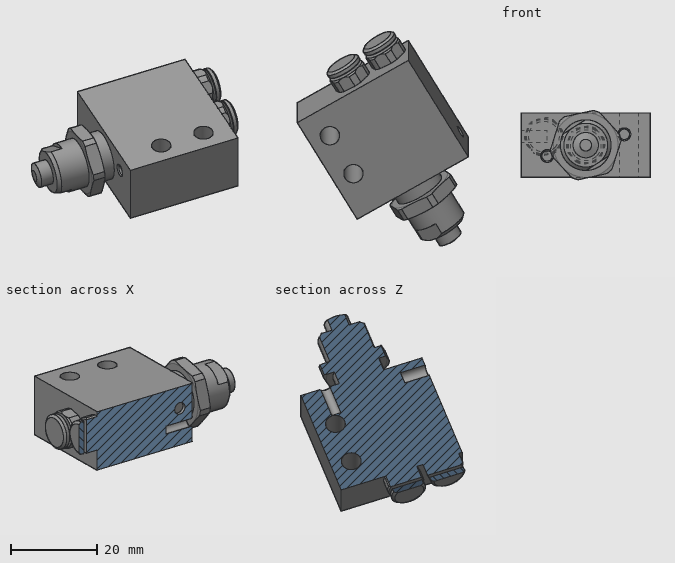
import cadquery as cq
import math


block_width = 30.0
block_length = 27.4
block_height = 15.0

mount_hole_diameter = 4.5
mount_hole_x = 10.05
mount_hole_ys = (10.05, 20.85)

front_hole_diameter = 2.4
front_hole_depth = 7.55
front_hole_chamfer = 0.3
front_hole_x = 8.95
front_hole_z = 2.5

side_hole_diameter = 2.8
side_hole_depth = 6.05
side_hole_y = 3.6
side_hole_z = 1.95

stem_diameter = 11.75
stem_length = 14.2
stem_chamfer = 0.8
flat_spacing = 10.0
flat_length = 3.5
flat_angle = 122.5
plunger_diameter = 5.9
plunger_reach = 17.7
plunger_tip_diameter = 2.7
plunger_tip_length = 0.55

nut_across_flats = 15.0
nut_corner_diameter = 16.5
nut_gap = 3.2
nut_thickness = 3.15
nut_chamfer_height = 0.15
nut_angle = 42.4

fitting_axes = ((-9.7, 1.95), (0.0, 0.0))
fitting_across_flats = 8.5
fitting_corner_diameter = 9.0
fitting_length = 3.1
fitting_chamfer_height = 0.45
fitting_angle = 41.4
ring_diameter = 8.4
ring_end_diameter = 7.15
ring_gap = 0.55
ring_end_chamfer_height = 0.5
ring_edge_chamfer = 0.15

overall_length = 50.3
ring_rear_y = overall_length - plunger_reach
fitting_rear_y = block_length + fitting_length
ring_front_y = fitting_rear_y + ring_gap


def revolve_about_y(profile):
    """Turn a closed (radius, y) profile about the Y axis."""
    return cq.Workplane("XY").polyline(profile).close().revolve(360, (0, 0, 0), (0, 1, 0))


def hexagon(across_flats, angle, y_start, y_end):
    """Hexagonal prism along Y, with one flat facing `angle` (from +X toward +Z)."""
    corner_to_corner = across_flats / math.cos(math.radians(30))
    prism = (
        cq.Workplane("XZ")
        .polygon(6, corner_to_corner)
        .extrude(y_start - y_end)
        .translate((0, y_start, 0))
    )
    return prism.rotate((0, 0, 0), (0, 1, 0), 30 - angle)


def make_block():
    block = cq.Workplane("XY").box(block_width, block_length, block_height, centered=(True, False, True))
    for y in mount_hole_ys:
        hole = cq.Workplane("XY").circle(mount_hole_diameter / 2).extrude(block_height)
        block = block.cut(hole.translate((mount_hole_x, y, -block_height / 2)))
    radius = front_hole_diameter / 2
    front_hole = revolve_about_y([
        (0, 0),
        (radius + front_hole_chamfer, 0),
        (radius, front_hole_chamfer),
        (radius, front_hole_depth),
        (0, front_hole_depth),
    ])
    for side in (-1, 1):
        block = block.cut(front_hole.translate((side * front_hole_x, 0, side * front_hole_z)))
    side_hole = cq.Workplane("YZ").circle(side_hole_diameter / 2).extrude(side_hole_depth)
    return block.cut(side_hole.translate((-block_width / 2, side_hole_y, side_hole_z)))


def make_stem():
    radius = stem_diameter / 2
    stem = revolve_about_y([
        (0, 0),
        (radius, 0),
        (radius, stem_chamfer - stem_length),
        (radius - stem_chamfer, -stem_length),
        (0, -stem_length),
    ])
    for side_angle in (flat_angle, flat_angle + 180):
        cutter = (
            cq.Workplane("XY")
            .box(stem_diameter, flat_length, stem_diameter, centered=(False, False, True))
            .translate((flat_spacing / 2, -stem_length, 0))
            .rotate((0, 0, 0), (0, 1, 0), -side_angle)
        )
        stem = stem.cut(cutter)
    return stem


def make_plunger():
    radius = plunger_diameter / 2
    return revolve_about_y([
        (0, 0),
        (radius, 0),
        (radius, plunger_tip_length - plunger_reach),
        (plunger_tip_diameter / 2, -plunger_reach),
        (0, -plunger_reach),
    ])


def make_nut():
    front_y = -nut_gap - nut_thickness
    corner_radius = nut_corner_diameter / 2
    face_radius = nut_across_flats / 2
    envelope = revolve_about_y([
        (0, -nut_gap),
        (face_radius, -nut_gap),
        (corner_radius, -nut_gap - nut_chamfer_height),
        (corner_radius, front_y + nut_chamfer_height),
        (face_radius, front_y),
        (0, front_y),
    ])
    return hexagon(nut_across_flats, nut_angle, front_y, -nut_gap).intersect(envelope)


def make_fitting_hexagon():
    corner_radius = fitting_corner_diameter / 2
    envelope = revolve_about_y([
        (0, block_length),
        (corner_radius, block_length),
        (corner_radius, fitting_rear_y - fitting_chamfer_height),
        (fitting_across_flats / 2, fitting_rear_y),
        (0, fitting_rear_y),
    ])
    return hexagon(fitting_across_flats, fitting_angle, block_length, fitting_rear_y).intersect(envelope)


def make_valve_body():
    body = make_block().union(make_stem()).union(make_plunger()).union(make_nut())
    fitting = make_fitting_hexagon()
    for x, z in fitting_axes:
        body = body.union(fitting.translate((x, 0, z)))
    return body


def make_release_ring(x, z):
    radius = ring_diameter / 2
    ring = revolve_about_y([
        (0, ring_front_y),
        (radius - ring_edge_chamfer, ring_front_y),
        (radius, ring_front_y + ring_edge_chamfer),
        (radius, ring_rear_y - ring_end_chamfer_height),
        (ring_end_diameter / 2, ring_rear_y),
        (0, ring_rear_y),
    ])
    return ring.translate((x, 0, z))


valve_body = make_valve_body()
release_rings = [make_release_ring(x, z) for x, z in fitting_axes]
result = cq.Compound.makeCompound([valve_body.val(), *[ring.val() for ring in release_rings]])